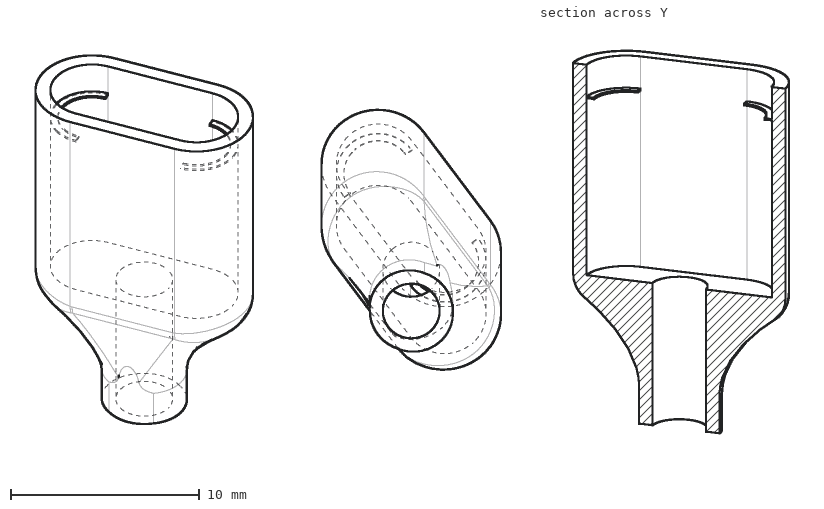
import cadquery as cq

height = 19.8
body_width = 12.0
body_depth = 6.0
body_radius = body_depth / 2
body_flat = body_width / 2 - body_radius

neck_radius = 2.2
neck_overlap_top = 4.95
funnel_bottom = 2.02
funnel_top = 7.19
funnel_sections = 6
funnel_end_flat = 0.18
funnel_end_width = 2.28
funnel_end_depth = 2.1
shoulder_fillet = 1.48
shoulder_slice = 0.02

wall = 0.8
socket_width = body_width - 2 * wall
socket_depth = body_depth - 2 * wall
lip_reach = 0.4
lip_thickness = 0.1
lip_drop = 1.8
lip_top = height - lip_drop
floor_z = 8.0
hole_diameter = 3.0


def stadium(bottom, top, width, depth):
    """Upright round-ended block centred on the Z axis."""
    return cq.Workplane("XY", origin=(0, 0, bottom)).slot2D(width, depth).extrude(top - bottom)


def end_curve(z, flat, half_width, half_depth, side):
    """Half-ellipse closing one end of a funnel section; side is +1 or -1."""
    reach = half_width - flat
    long_radius = max(reach, half_depth)
    short_radius = min(reach, half_depth)
    long_axis = cq.Vector(side, 0, 0) if reach > half_depth else cq.Vector(0, side, 0)
    quarter_turn = 90
    start_angle = -quarter_turn if reach > half_depth else -2 * quarter_turn
    return cq.Edge.makeEllipse(
        long_radius,
        short_radius,
        pnt=cq.Vector(side * flat, 0, z),
        dir=cq.Vector(0, 0, 1),
        xdir=long_axis,
        angle1=start_angle,
        angle2=start_angle + 2 * quarter_turn,
    )


def funnel_section(fraction):
    """Section at a fraction of the funnel height: flats grow linearly, sides as parabolas."""
    z = funnel_bottom + fraction * (funnel_top - funnel_bottom)
    flare = fraction ** 2
    flat = funnel_end_flat + (body_flat - funnel_end_flat) * fraction
    half_width = funnel_end_width + (body_width / 2 - funnel_end_width) * flare
    half_depth = funnel_end_depth + (body_radius - funnel_end_depth) * flare
    edges = [
        cq.Edge.makeLine(cq.Vector(-flat, -half_depth, z), cq.Vector(flat, -half_depth, z)),
        end_curve(z, flat, half_width, half_depth, 1),
        cq.Edge.makeLine(cq.Vector(flat, half_depth, z), cq.Vector(-flat, half_depth, z)),
        end_curve(z, flat, half_width, half_depth, -1),
    ]
    return cq.Wire.assembleEdges(edges)


def make_funnel():
    steps = funnel_sections - 1
    wires = [funnel_section(step / steps) for step in range(funnel_sections)]
    return cq.Workplane(cq.Solid.makeLoft(wires))


def make_neck():
    """Round cylinder merged with the straight continuation of the funnel's small end."""
    cylinder = cq.Workplane("XY").circle(neck_radius).extrude(neck_overlap_top)
    small_end = cq.Face.makeFromWires(funnel_section(0))
    side_pads = cq.Solid.extrudeLinear(small_end, cq.Vector(0, 0, -funnel_bottom))
    return cylinder.union(cq.Workplane(side_pads))


def make_socket():
    """Plain stadium cavity open at the rim."""
    return stadium(floor_z, height, socket_width, socket_depth)


def make_lips():
    """Thin inward lips around the two round ends of the socket."""
    bottom = lip_top - lip_thickness
    opening = stadium(bottom, lip_top, socket_width - 2 * lip_reach, socket_depth - 2 * lip_reach)
    straight_part = (
        cq.Workplane("XY", origin=(0, 0, bottom))
        .rect(2 * body_flat, socket_depth)
        .extrude(lip_thickness)
    )
    plate_width = socket_width + wall
    plate_depth = socket_depth + wall
    return stadium(bottom, lip_top, plate_width, plate_depth).cut(opening).cut(straight_part)


body = stadium(funnel_top, height, body_width, body_depth).union(make_funnel())
shoulder_edges = cq.selectors.BoxSelector(
    (-body_width, -body_depth, funnel_top - shoulder_slice),
    (body_width, body_depth, funnel_top + shoulder_slice),
)
body = body.edges(shoulder_edges).fillet(shoulder_fillet)

hole = cq.Workplane("XY").circle(hole_diameter / 2).extrude(height)
result = body.union(make_neck()).cut(make_socket()).union(make_lips()).cut(hole)